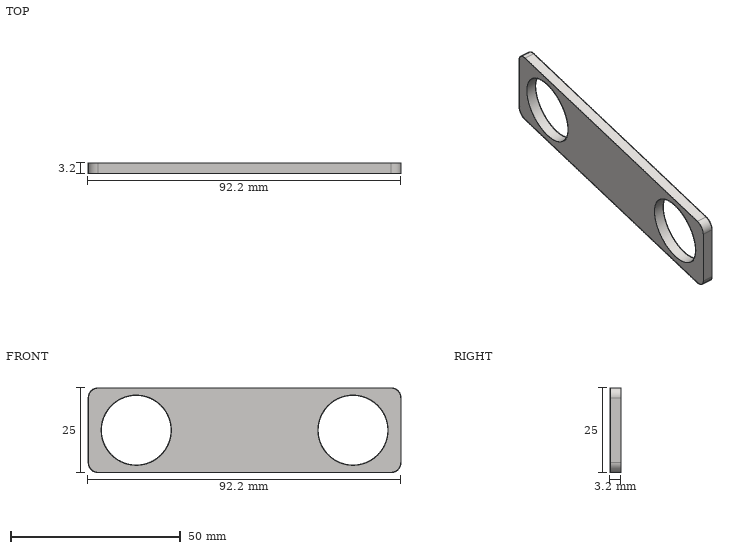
import cadquery as cq

length = 92.2
thickness = 3.2
height = 25.0
corner_radius = 2.95

hole_diameter = 20.6
hole_spacing = 63.9

plate = cq.Workplane("XY").box(length, thickness, height).edges("|Y").fillet(corner_radius)

result = (
    plate.faces("<Y")
    .workplane(centerOption="CenterOfBoundBox")
    .rarray(hole_spacing, 0.9, 2, 1)
    .hole(hole_diameter)
)